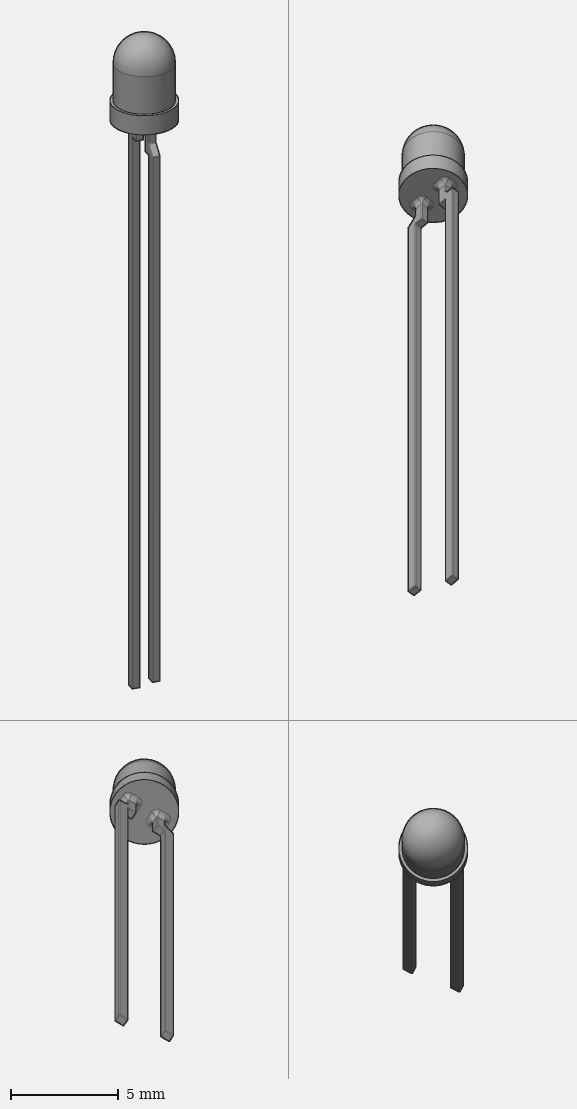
import cadquery as cq

lens_diameter = 2.9
flange_diameter = 3.2
flange_height = 1.0
body_height = 4.4
lens_radius = lens_diameter / 2
flange_radius = flange_diameter / 2
dome_base = body_height - lens_radius

lead_thickness = 0.4
leg_inner = 1.0
leg_width = 0.5
leg_outer = leg_inner + leg_width
neck_inner = 0.56
neck_outer = leg_inner
neck_top = flange_height / 2
step_bottom = -1.37
long_lead_length = 30.0
short_lead_length = 28.5
lead_edge_radius = 0.04

square_shoulder = -0.92
shoulder_radius = 0.25
slope_top = -0.76
slope_bottom = -1.23

creep_radius = 0.28


def make_body():
    """Flange, cylinder and hemispherical dome as one revolved profile."""
    dome_middle = lens_radius * 0.5 ** 0.5
    profile = (
        cq.Workplane("XZ")
        .lineTo(flange_radius, 0)
        .lineTo(flange_radius, flange_height)
        .lineTo(lens_radius, flange_height)
        .lineTo(lens_radius, dome_base)
        .threePointArc((dome_middle, dome_base + dome_middle), (0, body_height))
        .close()
    )
    return profile.revolve(360, (0, 0, 0), (0, 1, 0))


def make_strip(side, length, leg_top, neck_bottom):
    """Stepped flat strip; side is -1 or +1 along X, the last two are the ends of its shoulder."""
    outline = [
        (neck_inner, neck_top),
        (neck_inner, step_bottom),
        (leg_inner, step_bottom),
        (leg_inner, -length),
        (leg_outer, -length),
        (leg_outer, leg_top),
        (neck_outer, neck_bottom),
        (neck_outer, neck_top),
    ]
    points = [(side * x, z) for x, z in outline]
    return cq.Workplane("XZ").polyline(points).close().extrude(lead_thickness / 2, both=True)


def round_edges(strip):
    """Break every sharp edge of a strip."""
    return strip.edges().fillet(lead_edge_radius)


def make_long_lead():
    """Lead on the -X side, with a filleted square shoulder."""
    strip = make_strip(-1, long_lead_length, square_shoulder, square_shoulder)
    corner = cq.selectors.NearestToPointSelector((-neck_outer, 0, square_shoulder))
    return round_edges(strip.edges("|Y").edges(corner).fillet(shoulder_radius))


def make_short_lead():
    """Lead on the +X side, with a sloping shoulder."""
    return round_edges(make_strip(1, short_lead_length, slope_bottom, slope_top))


def add_resin_creep(part, side):
    """Concave fillet where one neck meets the flange underside."""
    margin = lead_edge_radius
    neck_root = cq.selectors.BoxSelector(
        (side * (neck_inner - margin), -lead_thickness, -margin),
        (side * (neck_outer + margin), lead_thickness, margin),
    )
    return part.edges(neck_root).fillet(creep_radius)


result = make_body().union(make_long_lead()).union(make_short_lead())
for lead_side in (-1, 1):
    result = add_resin_creep(result, lead_side)